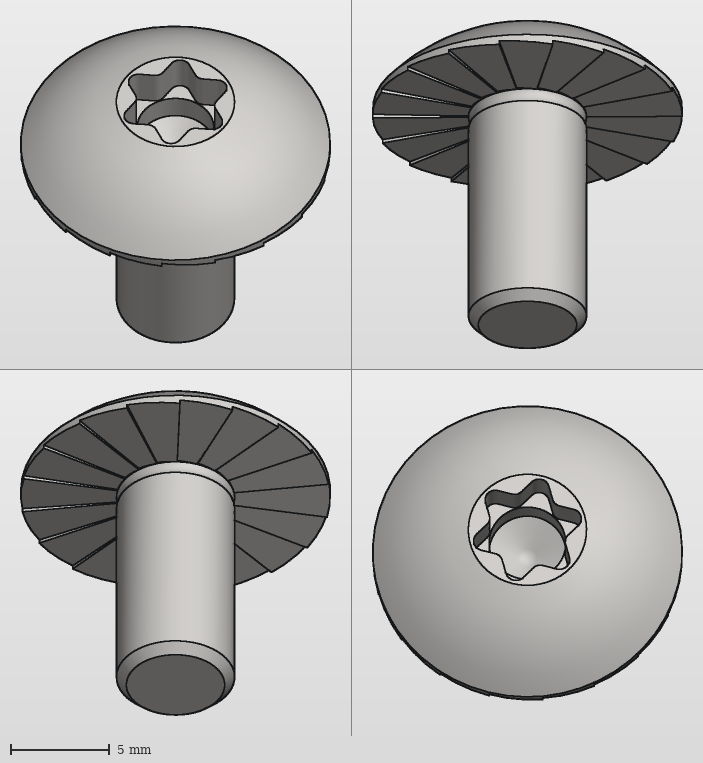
import cadquery as cq
import math

total_height = 15.7
head_diameter = 15.7
head_height = 3.7
rim_height = 0.5
shank_diameter = 6.0
tip_chamfer = 0.5

neck_length = 0.68
neck_depth = 0.1

lobe_count = 6
socket_depth = 1.98
flank_distance = 1.66
lobe_tip_fillet = 0.52
lobe_valley_fillet = 0.47

drill_diameter = 3.9
drill_depth = 1.33
drill_point_angle = 120.0

tooth_count = 18
tooth_height = 0.2
tooth_start_angle = 0.5

head_radius = head_diameter / 2
shank_radius = shank_diameter / 2
underside_z = total_height - head_height
rim_top_z = underside_z + rim_height
socket_floor_z = total_height - socket_depth
tooth_pitch = 360 / tooth_count


def polar(radius, angle):
    """Point at a radius and an angle in degrees."""
    return radius * math.cos(math.radians(angle)), radius * math.sin(math.radians(angle))


def dome_midpoint():
    """Point on the dome, as (radius, z), halfway between the rim and the flat top.

    The dome is a sphere centred on the screw axis that passes through the
    rim's upper edge and the edge of the flat, which is as wide as the shank.
    """
    rise = total_height - rim_top_z
    centre_z = (rim_top_z + total_height) / 2 - (head_radius**2 - shank_radius**2) / (2 * rise)
    sphere_radius = math.hypot(head_radius, rim_top_z - centre_z)
    middle_radius = (head_radius + shank_radius) / 2
    return middle_radius, centre_z + math.sqrt(sphere_radius**2 - middle_radius**2)


def screw_blank():
    """Head, neck and shank turned as one profile."""
    neck_bottom_z = underside_z - neck_length
    neck_middle = (shank_radius - neck_depth, underside_z - neck_length / 2)
    return (
        cq.Workplane("XZ")
        .lineTo(shank_radius - tip_chamfer, 0)
        .lineTo(shank_radius, tip_chamfer)
        .lineTo(shank_radius, neck_bottom_z)
        .threePointArc(neck_middle, (shank_radius, underside_z))
        .lineTo(head_radius, underside_z)
        .lineTo(head_radius, rim_top_z)
        .threePointArc(dome_midpoint(), (shank_radius, total_height))
        .lineTo(0, total_height)
        .close()
        .revolve(360, (0, 0, 0), (0, 1, 0))
    )


def socket():
    """Six-pointed star prism with rounded tips and valleys."""
    half_lobe = 180 / lobe_count
    tip_radius = flank_distance / math.sin(math.radians(half_lobe))
    valley_radius = flank_distance / math.cos(math.radians(half_lobe))
    tips = [polar(tip_radius, 2 * i * half_lobe) for i in range(lobe_count)]
    valleys = [polar(valley_radius, (2 * i + 1) * half_lobe) for i in range(lobe_count)]
    outline = [corner for pair in zip(tips, valleys) for corner in pair]

    star = cq.Workplane("XY", origin=(0, 0, socket_floor_z)).polyline(outline).close().extrude(socket_depth)
    middle_z = socket_floor_z + socket_depth / 2
    for corners, fillet_radius in ((tips, lobe_tip_fillet), (valleys, lobe_valley_fillet)):
        for x, y in corners:
            corner_edge = cq.selectors.NearestToPointSelector((x, y, middle_z))
            star = star.edges(corner_edge).fillet(fillet_radius)
    return star


def drilled_hole():
    """Round hole that continues down from the socket floor to a conical point."""
    drill_radius = drill_diameter / 2
    shoulder_z = socket_floor_z - drill_depth
    point_z = shoulder_z - drill_radius / math.tan(math.radians(drill_point_angle / 2))
    return (
        cq.Workplane("XZ")
        .moveTo(0, socket_floor_z)
        .lineTo(drill_radius, socket_floor_z)
        .lineTo(drill_radius, shoulder_z)
        .lineTo(0, point_z)
        .close()
        .revolve(360, (0, 0, 0), (0, 1, 0))
    )


def flat_face(*corners):
    """Flat face bounded by straight edges between the corners."""
    return cq.Face.makeFromWires(cq.Wire.makePolygon(list(corners), close=True))


def tooth_gap():
    """Wedge between two teeth that fades to nothing over one pitch and towards the axis.

    It is a tetrahedron with its apex on the screw axis and an upright step at
    its start. It runs on past the rim so that it cuts the rim through. The
    material above the neck and shank is left whole.
    """
    overrun = 1.1
    outer_radius = overrun * head_radius
    start_x, start_y = polar(outer_radius, tooth_start_angle)
    end_x, end_y = polar(outer_radius, tooth_start_angle + tooth_pitch)
    apex = cq.Vector(0, 0, underside_z)
    step_bottom = cq.Vector(start_x, start_y, underside_z)
    step_top = cq.Vector(start_x, start_y, underside_z + overrun * tooth_height)
    ramp_end = cq.Vector(end_x, end_y, underside_z)
    shell = cq.Shell.makeShell([
        flat_face(apex, step_bottom, step_top),
        flat_face(apex, step_bottom, ramp_end),
        flat_face(apex, step_top, ramp_end),
        flat_face(step_bottom, step_top, ramp_end),
    ])
    core = cq.Workplane("XY", origin=(0, 0, underside_z)).circle(shank_radius).extrude(tooth_height)
    return cq.Workplane(cq.Solid.makeSolid(shell)).cut(core)


result = screw_blank().cut(socket()).cut(drilled_hole())

gap = tooth_gap()
for i in range(tooth_count):
    result = result.cut(gap.rotate((0, 0, 0), (0, 0, 1), i * tooth_pitch))